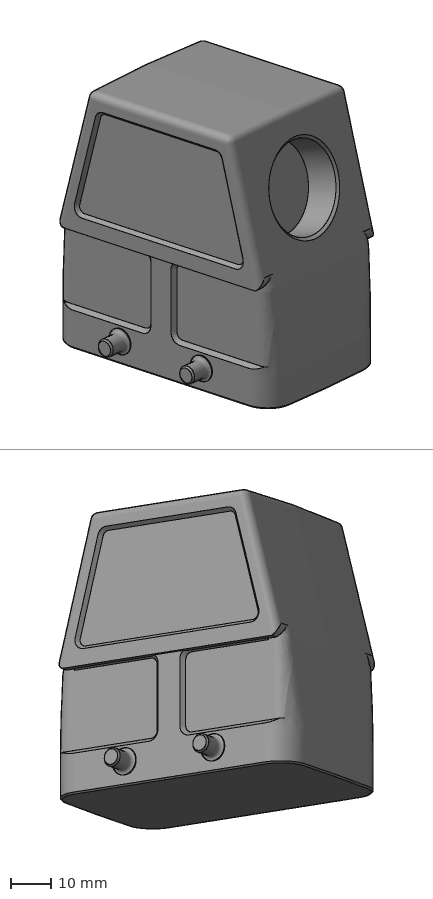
import cadquery as cq
import math

HEIGHT = 72.0
HALF_LENGTH = 36.3
DRAFT = 1.0

FOOT_HEIGHT = 9.15
FOOT_HALF_WIDTH = 21.6
FOOT_CORNER = 7.5
FOOT_EDGE = 0.4

HOOD_BOTTOM = 32.1
HOOD_HALF_LENGTH = 34.3
HOOD_HALF_WIDTH = 22.5
HOOD_SLOPE = 15.0
HOOD_EDGE = 2.0
HOOD_RIM_CORNER = 3.0
SHOULDER_BLEND = 0.4
NECK_HEIGHT = 7.25
SHOULDER_CORNER = 3.8

GRIP_DEPTH = 1.15
GRIP_BOTTOM = 10.45
GRIP_INNER = 3.3
GRIP_CORNER = 2.8
GRIP_COLUMN_BOTTOM = 4.8
GRIP_COLUMN_TOP = 3.0

WINDOW_BOTTOM = 36.7
WINDOW_TOP = 67.3
WINDOW_MARGIN = 4.65
WINDOW_DEPTH = 1.0
WINDOW_CORNER = 2.55
WALL_TAPER = 41.0

BORE_DIAMETER = 25.0
BORE_CHAMFER = 0.9
BORE_DEPTH = 10.2
BORE_HEIGHT = 52.5

PIN_X = 13.3
PIN_Z = 6.25
PIN_DIAMETER = 4.8
PIN_TIP_DIAMETER = 4.0
PIN_TIP_LENGTH = 0.6
PIN_COLLAR_DIAMETER = 7.0
PIN_COLLAR_LENGTH = 0.3
PIN_ROOT = 0.7
PIN_REACH = 27.8

CLEAR = 7.25
EDGE_REACH = 0.7

BLEND_LOW = HOOD_BOTTOM - SHOULDER_BLEND
BLEND_HIGH = HOOD_BOTTOM + SHOULDER_BLEND
SLOPE_RUN = math.tan(math.radians(HOOD_SLOPE))
DRAFT_RUN = math.tan(math.radians(DRAFT)) / math.cos(math.radians(HOOD_SLOPE))
GRIP_HALF_WIDTH = FOOT_HALF_WIDTH - GRIP_DEPTH


def end_face_x(z):
    """X of the sloping +X end face of the hood at height z, on Y = 0."""
    return HOOD_HALF_LENGTH - (z - HOOD_BOTTOM) * SLOPE_RUN


def on_both_sides(body):
    """The body together with its mirror image across Y = 0."""
    return body.union(body.mirror("XZ"))


def body_end_x(z):
    """X of the +X end at height z, on Y = 0, up the foot, the lower body and the hood."""
    if z >= HOOD_BOTTOM:
        return end_face_x(z)
    rise = max(0.0, (z - FOOT_HEIGHT) / (HOOD_BOTTOM - FOOT_HEIGHT))
    return HALF_LENGTH - rise * (HALF_LENGTH - HOOD_HALF_LENGTH)


def rounded_section(z, half_width, corner):
    """Closed outline at height z: ends drafted from Y = 0, four round corners."""
    half_length = body_end_x(z)
    corner_x = half_length - half_width * DRAFT_RUN
    outline = cq.Wire.makePolygon(
        [
            cq.Vector(half_length, 0, z),
            cq.Vector(corner_x, half_width, z),
            cq.Vector(-corner_x, half_width, z),
            cq.Vector(-half_length, 0, z),
            cq.Vector(-corner_x, -half_width, z),
            cq.Vector(corner_x, -half_width, z),
        ],
        close=True,
    )
    corners = [v for v in outline.Vertices() if abs(v.Y) > half_width / 2]
    return outline.fillet2D(corner, corners)


def ruled_body(*sections):
    """Solid with straight walls from each outline to the next."""
    return cq.Workplane(obj=cq.Solid.makeLoft(list(sections), True))


def sloped_corners(bottom, top, margin=0.0):
    """Corners in XZ of a trapezoid with sides parallel to the hood's end faces."""
    low_x = end_face_x(bottom) - margin
    high_x = end_face_x(top) - margin
    return [(-low_x, bottom), (low_x, bottom), (high_x, top), (-high_x, top)]


def half_hood():
    """-Y half of the hood before rounding, narrowing by the draft away from Y = 0."""
    outline = sloped_corners(HOOD_BOTTOM, HEIGHT)
    return cq.Workplane("XZ").polyline(outline).close().extrude(HOOD_HALF_WIDTH, taper=DRAFT)


def rim_corner_limit():
    """Space inside which the hood's lower corners are rounded towards the end faces."""
    tangent = HOOD_RIM_CORNER / math.tan(math.radians(90 - HOOD_SLOPE) / 2)
    inset = GRIP_HALF_WIDTH * DRAFT_RUN
    low_x = HOOD_HALF_LENGTH - inset - tangent
    high_z = HOOD_BOTTOM + tangent * math.cos(math.radians(HOOD_SLOPE))
    high_x = end_face_x(high_z) - inset
    wide = HALF_LENGTH + CLEAR
    return (
        cq.Workplane("XZ")
        .moveTo(-low_x, HOOD_BOTTOM)
        .lineTo(low_x, HOOD_BOTTOM)
        .radiusArc((high_x, high_z), -HOOD_RIM_CORNER)
        .lineTo(wide, high_z)
        .lineTo(wide, HEIGHT)
        .lineTo(-wide, HEIGHT)
        .lineTo(-wide, high_z)
        .lineTo(-high_x, high_z)
        .radiusArc((-low_x, HOOD_BOTTOM), -HOOD_RIM_CORNER)
        .close()
        .extrude(HOOD_HALF_WIDTH, both=True)
    )


def make_hood():
    """Hood with its roof, end and side edges rounded; the rim and the parting line stay sharp."""
    wide = HALF_LENGTH + CLEAR
    rim = cq.selectors.BoxSelector(
        (-wide, -wide, HOOD_BOTTOM - EDGE_REACH),
        (wide, wide, HOOD_BOTTOM + EDGE_REACH),
    )
    parting = cq.selectors.BoxSelector(
        (-wide, -EDGE_REACH, 0),
        (wide, EDGE_REACH, HEIGHT + CLEAR),
    )
    rounded = cq.selectors.InverseSelector(cq.selectors.SumSelector(rim, parting))
    half = half_hood().edges(rounded).fillet(HOOD_EDGE)
    return on_both_sides(half).intersect(rim_corner_limit())


def make_lower_body():
    """Foot band and the walls leaning in above it, before the grip recesses."""
    foot_low = rounded_section(0, FOOT_HALF_WIDTH, FOOT_CORNER)
    foot_high = rounded_section(FOOT_HEIGHT, FOOT_HALF_WIDTH, FOOT_CORNER)
    blend_low = rounded_section(BLEND_LOW, FOOT_HALF_WIDTH, SHOULDER_CORNER)
    blend_high = rounded_section(BLEND_HIGH, FOOT_HALF_WIDTH, SHOULDER_CORNER)
    foot = ruled_body(foot_low, foot_high).faces("<Z").chamfer(FOOT_EDGE)
    return foot.union(ruled_body(foot_high, blend_low, blend_high))


def neck_sections():
    """Outlines of the recessed body from just below the hood to its top inside the hood."""
    return [
        rounded_section(z, GRIP_HALF_WIDTH, GRIP_COLUMN_TOP)
        for z in (BLEND_LOW, BLEND_HIGH, HOOD_BOTTOM + NECK_HEIGHT)
    ]


def make_grip_column():
    """Body left between the grip recesses; its corners sharpen towards the hood."""
    low = rounded_section(GRIP_BOTTOM, GRIP_HALF_WIDTH, GRIP_COLUMN_BOTTOM)
    return ruled_body(low, *neck_sections())


def grip_recess():
    """Recess on the +X half of the -Y side, open towards the end and up to the hood."""
    wall_run = GRIP_DEPTH * math.tan(math.radians(WALL_TAPER))
    length = HALF_LENGTH + CLEAR - GRIP_INNER
    height = HOOD_BOTTOM + wall_run - GRIP_BOTTOM
    panel = (
        cq.Workplane("XZ", origin=(GRIP_INNER + length / 2, -FOOT_HALF_WIDTH, GRIP_BOTTOM + height / 2))
        .sketch()
        .rect(length, height)
        .vertices()
        .fillet(GRIP_CORNER)
        .finalize()
        .extrude(-GRIP_DEPTH, taper=WALL_TAPER)
    )
    corner = (
        cq.Workplane("XY")
        .box(CLEAR * 2, FOOT_CORNER, height - wall_run, centered=False)
        .translate((HALF_LENGTH - CLEAR, -FOOT_HALF_WIDTH, GRIP_BOTTOM + wall_run))
        .cut(make_grip_column())
    )
    return panel.union(corner)


def window_recess():
    """Shallow trapezoidal recess in the -Y side of the hood."""
    outline = sloped_corners(WINDOW_BOTTOM, WINDOW_TOP, WINDOW_MARGIN)
    return (
        cq.Workplane("XZ", origin=(0, -HOOD_HALF_WIDTH, 0))
        .sketch()
        .polygon(outline + outline[:1])
        .vertices()
        .fillet(WINDOW_CORNER)
        .finalize()
        .extrude(-WINDOW_DEPTH, taper=WALL_TAPER)
    )


def cable_bore():
    """Blind bore with a chamfered mouth, square to the +X end face."""
    lean = math.radians(HOOD_SLOPE)
    radius = BORE_DIAMETER / 2
    profile = [
        (0, CLEAR),
        (radius + BORE_CHAMFER + CLEAR, CLEAR),
        (radius, -BORE_CHAMFER),
        (radius, -BORE_DEPTH),
        (0, -BORE_DEPTH),
    ]
    section = cq.Plane(
        origin=(end_face_x(BORE_HEIGHT), 0, BORE_HEIGHT),
        xDir=(0, 1, 0),
        normal=(math.sin(lean), 0, -math.cos(lean)),
    )
    return cq.Workplane(section).polyline(profile).close().revolve(360, (0, 0), (0, 1))


def locking_pin(x):
    """Pin with a hollow-filleted collar and a chamfered tip, standing out towards -Y."""
    radius = PIN_DIAMETER / 2
    collar_radius = PIN_COLLAR_DIAMETER / 2
    fillet = collar_radius - radius
    collar_face = FOOT_HALF_WIDTH + PIN_COLLAR_LENGTH
    outward = cq.Plane(origin=(x, 0, PIN_Z), xDir=(1, 0, 0), normal=(0, 0, -1))
    return (
        cq.Workplane(outward)
        .moveTo(0, FOOT_HALF_WIDTH - PIN_ROOT)
        .lineTo(collar_radius, FOOT_HALF_WIDTH - PIN_ROOT)
        .lineTo(collar_radius, collar_face)
        .radiusArc((radius, collar_face + fillet), fillet)
        .lineTo(radius, PIN_REACH - PIN_TIP_LENGTH)
        .lineTo(PIN_TIP_DIAMETER / 2, PIN_REACH)
        .lineTo(0, PIN_REACH)
        .close()
        .revolve(360, (0, 0), (0, 1))
    )


side_recesses = grip_recess()
side_recesses = side_recesses.union(side_recesses.mirror("YZ"))
pins = locking_pin(PIN_X).union(locking_pin(-PIN_X))

result = (
    make_lower_body()
    .cut(on_both_sides(side_recesses))
    .union(ruled_body(*neck_sections()))
    .union(make_hood())
    .cut(on_both_sides(window_recess()))
    .cut(cable_bore())
    .union(on_both_sides(pins))
)